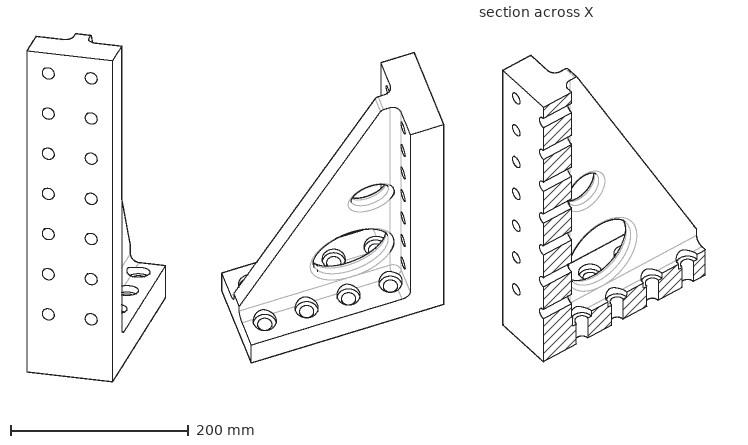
import cadquery as cq

width = 100.0
depth = 230.0
height = 400.0
wall = 40.0
web_thickness = 18.0
web_shoulder = 60.0
inside_radius = 10.0
web_top_radius = 4.0

pitch = 50.0
hole_offset = pitch / 2
plate_hole_diameter = 14.0
plate_hole_rows = 7
plate_first_row = 1.5 * pitch
base_hole_diameter = 16.0
base_hole_rows = 4
counterbore_diameter = 26.0
counterbore_depth = 8.0

web_holes = [(90.0, 95.0, 100.0), (45.0, 72.5, 212.5)]
rim_radius = inside_radius / 2


def make_body():
    """L-shaped bracket with a central sloped web and filleted inside corners."""
    bracket = (
        cq.Workplane("YZ")
        .polyline([(0, 0), (depth, 0), (depth, wall), (wall, wall), (wall, height), (0, height)])
        .close()
        .extrude(width / 2, both=True)
    )
    web = (
        cq.Workplane("YZ")
        .polyline([(0, 0), (depth, 0), (depth, web_shoulder), (web_shoulder, height), (0, height)])
        .close()
        .extrude(web_thickness / 2, both=True)
    )
    top_corner = cq.selectors.NearestToPointSelector((0, web_shoulder, height))
    web = web.edges(top_corner).fillet(web_top_radius)
    body = bracket.union(web)

    half_web = web_thickness / 2
    margin = 0.5
    inside_corner = cq.selectors.BoxSelector(
        (-width, wall - margin, wall - margin),
        (width, wall + margin, wall + margin),
        boundingbox=False,
    )
    corners = body.edges(inside_corner)
    for side in (-1, 1):
        x = side * half_web
        for y, z in ((wall, height / 2), (depth / 2, wall)):
            corners = corners.add(body.edges(cq.selectors.NearestToPointSelector((x, y, z))))
    return body.newObject(corners.vals()).fillet(inside_radius)


def make_web_hole(diameter, y, z):
    """Through-hole cutter whose rims flare out in a quarter round at both web faces."""
    radius = diameter / 2
    half_web = web_thickness / 2
    rim = radius + rim_radius
    straight = half_web - rim_radius
    profile = (
        cq.Workplane("XY")
        .moveTo(-width / 2, 0)
        .lineTo(-width / 2, rim)
        .lineTo(-half_web, rim)
        .radiusArc((-straight, radius), -rim_radius)
        .lineTo(straight, radius)
        .radiusArc((half_web, rim), -rim_radius)
        .lineTo(width / 2, rim)
        .lineTo(width / 2, 0)
        .close()
    )
    return profile.revolve(360, (0, 0, 0), (1, 0, 0)).translate((0, y, z))


def make_plate_holes():
    """Two columns of plain holes through the upright plate."""
    points = [
        (side * hole_offset, plate_first_row + row * pitch)
        for side in (-1, 1)
        for row in range(plate_hole_rows)
    ]
    return cq.Workplane("XZ").pushPoints(points).circle(plate_hole_diameter / 2).extrude(-wall - inside_radius)


def make_base_holes():
    """Two columns of counterbored holes through the base."""
    points = [
        (side * hole_offset, depth - hole_offset - row * pitch)
        for side in (-1, 1)
        for row in range(base_hole_rows)
    ]
    through = cq.Workplane("XY").pushPoints(points).circle(base_hole_diameter / 2).extrude(wall)
    seats = (
        cq.Workplane("XY", origin=(0, 0, wall - counterbore_depth))
        .pushPoints(points)
        .circle(counterbore_diameter / 2)
        .extrude(counterbore_depth + inside_radius)
    )
    return through.union(seats)


result = make_body()
for diameter, y, z in web_holes:
    result = result.cut(make_web_hole(diameter, y, z))
result = result.cut(make_plate_holes()).cut(make_base_holes())